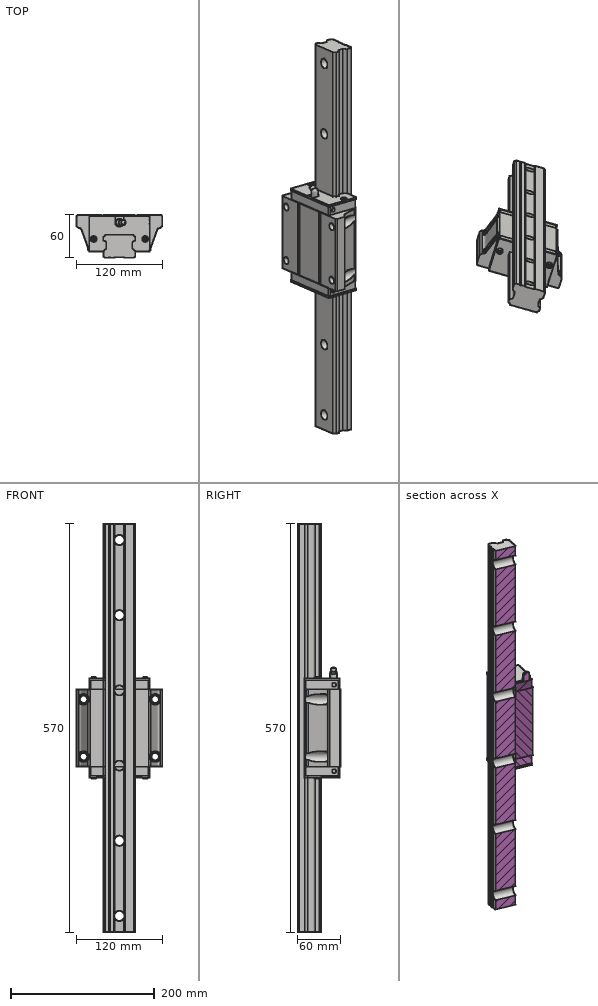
import cadquery as cq
import math


RAIL_LENGTH = 570
RAIL_HALF_WIDTH = 22.5
RAIL_HEIGHT = 32.5
RAIL_BASE_HEIGHT = 9.3
WAIST_HALF_WIDTH = 18
WAIST_BOTTOM = 13.5
WAIST_TOP = 20
HEAD_BOTTOM = 24
HEAD_CORNER = 3
BALL_TRACK_RADIUS = 4
BASE_CHAMFER_X = 2.7
BASE_CHAMFER_Y = 1.7
RELIEF_HALF_WIDTH = 7.9
RELIEF_DEPTH = 0.9
RELIEF_TAPER = 1.7
MARK_X = -13.8
MARK_WIDTH = 1.7
MARK_DEPTH = 0.9
RAIL_HOLE_DIAMETER = 14
RAIL_HOLE_PITCH = 105
RAIL_HOLE_COUNT = 6

CARRIAGE_HEIGHT = 60
CARRIAGE_BOTTOM = 9
FLANGE_HALF_WIDTH = 60
FLANGE_CHAMFER = 1.6
FLANGE_SIDE_BOTTOM = 44.5
FLANGE_BOTTOM = 41.6
FLANGE_LIP_HALF_WIDTH = 57
FLANGE_ROOT_HALF_WIDTH = 53.8
FLANGE_ROOT_FILLET = 4.2
SKIRT_HALF_WIDTH = 44
SKIRT_TOP = 14.5
SKIRT_CHAMFER_X = 3
SKIRT_CHAMFER_Y = 2.5
BLOCK_LENGTH = 108
BOLT_SPACING_X = 100
BOLT_SPACING_Z = 80
BOLT_HOLE_DIAMETER = 10.2
SPOTFACE_DIAMETER = 15
TOP_GROOVE_X = 23.3
TOP_GROOVE_WIDTH = 3
TOP_GROOVE_DEPTH = 1

CAP_LENGTH = 12.7
CAP_HALF_WIDTH = 42.3
CAP_TOP = 58.5
CAP_CHAMFER = 2
PORT_DIAMETER = 5.7
PORT_DEPTH = 5
PORT_Y = 50.5

SEAL_THICKNESS = 2.8
SCREW_X = 36
SCREW_Y = 26.5
SCREW_HEAD_DIAMETER = 8.5
SCREW_HEAD_HEIGHT = 1.7
SCREW_TOP_DIAMETER = 4.5
SCREW_SOCKET_DIAMETER = 3.3
SCREW_SOCKET_DEPTH = 1.2
NOTCH_WIDTH = 12

NIPPLE_Y = 49.7
NIPPLE_STEM_DIAMETER = 10
NIPPLE_STEM_HEIGHT = 9
NIPPLE_TILT = 45
NIPPLE_SPOUT_DIAMETER = 8
NIPPLE_SPOUT_LENGTH = 3
NIPPLE_TIP_DIAMETER = 2
NIPPLE_TIP_LENGTH = 4

BLOCK_END = BLOCK_LENGTH / 2
CAP_END = BLOCK_END + CAP_LENGTH
SEAL_END = CAP_END + SEAL_THICKNESS


def mirrored_bar(half_outline, z_start, length):
    """Bar along Z whose section is a right-half outline and its mirror image across X = 0."""
    left_half = [(-x, y) for x, y in reversed(half_outline)]
    section = cq.Workplane("XY").workplane(offset=z_start).polyline(half_outline + left_half)
    return section.close().extrude(length)


def box_between(x_limits, y_limits, z_limits):
    """Axis-aligned box given by its limits along each axis."""
    sizes = [high - low for low, high in (x_limits, y_limits, z_limits)]
    corner = (x_limits[0], y_limits[0], z_limits[0])
    return cq.Workplane("XY").box(*sizes, centered=False).translate(corner)


def rail_bar():
    """Rail without its mounting holes and base grooves; each side has two concave ball tracks."""
    half_section = (
        cq.Workplane("XY", origin=(0, 0, -RAIL_LENGTH / 2))
        .lineTo(RAIL_HALF_WIDTH - BASE_CHAMFER_X, 0)
        .lineTo(RAIL_HALF_WIDTH, BASE_CHAMFER_Y)
        .lineTo(RAIL_HALF_WIDTH, RAIL_BASE_HEIGHT)
        .lineTo(WAIST_HALF_WIDTH, WAIST_BOTTOM)
        .lineTo(WAIST_HALF_WIDTH, WAIST_TOP)
        .radiusArc((RAIL_HALF_WIDTH, HEAD_BOTTOM), BALL_TRACK_RADIUS)
        .lineTo(RAIL_HALF_WIDTH, RAIL_HEIGHT - HEAD_CORNER)
        .radiusArc((RAIL_HALF_WIDTH - HEAD_CORNER, RAIL_HEIGHT), BALL_TRACK_RADIUS)
        .lineTo(0, RAIL_HEIGHT)
    )
    return half_section.mirrorY().extrude(RAIL_LENGTH)


def make_rail():
    relief = mirrored_bar(
        [(RELIEF_HALF_WIDTH, 0), (RELIEF_HALF_WIDTH - RELIEF_TAPER, RELIEF_DEPTH)],
        -RAIL_LENGTH / 2,
        RAIL_LENGTH,
    )
    datum_mark = box_between(
        (MARK_X - MARK_WIDTH / 2, MARK_X + MARK_WIDTH / 2),
        (0, MARK_DEPTH),
        (-RAIL_LENGTH / 2, RAIL_LENGTH / 2),
    )
    holes = (
        cq.Workplane("XZ")
        .rarray(1, RAIL_HOLE_PITCH, 1, RAIL_HOLE_COUNT)
        .circle(RAIL_HOLE_DIAMETER / 2)
        .extrude(-RAIL_HEIGHT)
    )
    return rail_bar().cut(relief).cut(datum_mark).cut(holes)


def make_block():
    half_outline = [
        (SKIRT_HALF_WIDTH - SKIRT_CHAMFER_X, CARRIAGE_BOTTOM),
        (SKIRT_HALF_WIDTH, CARRIAGE_BOTTOM + SKIRT_CHAMFER_Y),
        (SKIRT_HALF_WIDTH, SKIRT_TOP),
        (FLANGE_ROOT_HALF_WIDTH, FLANGE_BOTTOM),
        (FLANGE_LIP_HALF_WIDTH, FLANGE_BOTTOM),
        (FLANGE_HALF_WIDTH, FLANGE_SIDE_BOTTOM),
        (FLANGE_HALF_WIDTH, CARRIAGE_HEIGHT - FLANGE_CHAMFER),
        (FLANGE_HALF_WIDTH - FLANGE_CHAMFER, CARRIAGE_HEIGHT),
    ]
    bar = mirrored_bar(half_outline, -BLOCK_END, BLOCK_LENGTH)
    for side in (-1, 1):
        root = cq.selectors.NearestToPointSelector((side * FLANGE_ROOT_HALF_WIDTH, FLANGE_BOTTOM, 0))
        bar = bar.edges("|Z").edges(root).fillet(FLANGE_ROOT_FILLET)
        groove_center = side * TOP_GROOVE_X
        top_groove = box_between(
            (groove_center - TOP_GROOVE_WIDTH / 2, groove_center + TOP_GROOVE_WIDTH / 2),
            (CARRIAGE_HEIGHT - TOP_GROOVE_DEPTH, CARRIAGE_HEIGHT),
            (-BLOCK_END, BLOCK_END),
        )
        bar = bar.cut(top_groove)
    bolt_places = cq.Workplane("XZ").rarray(BOLT_SPACING_X, BOLT_SPACING_Z, 2, 2)
    bolt_holes = bolt_places.circle(BOLT_HOLE_DIAMETER / 2).extrude(-CARRIAGE_HEIGHT)
    spotfaces = bolt_places.circle(SPOTFACE_DIAMETER / 2).extrude(-FLANGE_BOTTOM)
    return bar.cut(rail_bar()).cut(bolt_holes).cut(spotfaces)


def end_plate(z_start, thickness):
    """Plain plate across the upper end of the carriage, before it is opened for the rail."""
    return box_between(
        (-CAP_HALF_WIDTH, CAP_HALF_WIDTH),
        (CARRIAGE_BOTTOM, CAP_TOP),
        (z_start, z_start + thickness),
    )


def make_upper_cap():
    cap = end_plate(BLOCK_END, CAP_LENGTH).edges("|Z").chamfer(CAP_CHAMFER)
    for side in (-1, 1):
        port = (
            cq.Workplane("YZ", origin=(side * CAP_HALF_WIDTH, 0, 0))
            .center(PORT_Y, (BLOCK_END + CAP_END) / 2)
            .circle(PORT_DIAMETER / 2)
            .extrude(-side * PORT_DEPTH)
        )
        cap = cap.cut(port)
    return cap.cut(rail_bar())


def make_upper_seal():
    """Seal plate with its two fixing screw heads."""
    seal = end_plate(CAP_END, SEAL_THICKNESS).cut(rail_bar())
    screw_places = [(-SCREW_X, SCREW_Y), (SCREW_X, SCREW_Y)]
    screws = cq.Workplane("XY").workplane(offset=SEAL_END).pushPoints(screw_places)
    head_taper = math.degrees(
        math.atan((SCREW_HEAD_DIAMETER - SCREW_TOP_DIAMETER) / 2 / SCREW_HEAD_HEIGHT)
    )
    heads = screws.circle(SCREW_HEAD_DIAMETER / 2).extrude(SCREW_HEAD_HEIGHT, taper=head_taper)
    sockets = (
        screws.circle(SCREW_SOCKET_DIAMETER / 2)
        .extrude(SCREW_SOCKET_DEPTH)
        .translate((0, 0, SCREW_HEAD_HEIGHT - SCREW_SOCKET_DEPTH))
    )
    return seal.union(heads).cut(sockets)


def notch_for_nipple(seal):
    """Open a round-bottomed notch from the seal's top edge, so the nipple reaches the cap."""
    half_width = NOTCH_WIDTH / 2
    notch = box_between((-half_width, half_width), (NIPPLE_Y, CAP_TOP), (CAP_END, SEAL_END))
    round_bottom = (
        cq.Workplane("XY", origin=(0, NIPPLE_Y, CAP_END)).circle(half_width).extrude(SEAL_THICKNESS)
    )
    return seal.cut(notch).cut(round_bottom)


def make_nipple():
    """Elbow grease nipple that stands on the upper cap and leans toward +X."""
    stem = (
        cq.Workplane("XY", origin=(0, NIPPLE_Y, CAP_END))
        .circle(NIPPLE_STEM_DIAMETER / 2)
        .extrude(NIPPLE_STEM_HEIGHT)
    )
    elbow_center = (0, NIPPLE_Y, CAP_END + NIPPLE_STEM_HEIGHT)
    elbow = cq.Workplane("XY", origin=elbow_center).sphere(NIPPLE_STEM_DIAMETER / 2)
    tilt = math.radians(NIPPLE_TILT)
    direction = cq.Vector(math.sin(tilt), 0, math.cos(tilt))
    spout_end = NIPPLE_STEM_DIAMETER / 2 + NIPPLE_SPOUT_LENGTH
    spout = cq.Solid.makeCylinder(
        NIPPLE_SPOUT_DIAMETER / 2, spout_end, cq.Vector(*elbow_center), direction
    )
    tip = cq.Solid.makeCone(
        NIPPLE_SPOUT_DIAMETER / 2,
        NIPPLE_TIP_DIAMETER / 2,
        NIPPLE_TIP_LENGTH,
        cq.Vector(*elbow_center) + direction * spout_end,
        direction,
    )
    return stem.union(elbow).union(spout).union(tip)


rail = make_rail()
block = make_block()
upper_cap = make_upper_cap()
lower_cap = upper_cap.mirror("XY")
plain_seal = make_upper_seal()
upper_seal = notch_for_nipple(plain_seal)
lower_seal = plain_seal.mirror("XY")
nipple = make_nipple()

bodies = [rail, block, upper_cap, lower_cap, upper_seal, lower_seal, nipple]
result = cq.Compound.makeCompound([body.val() for body in bodies])